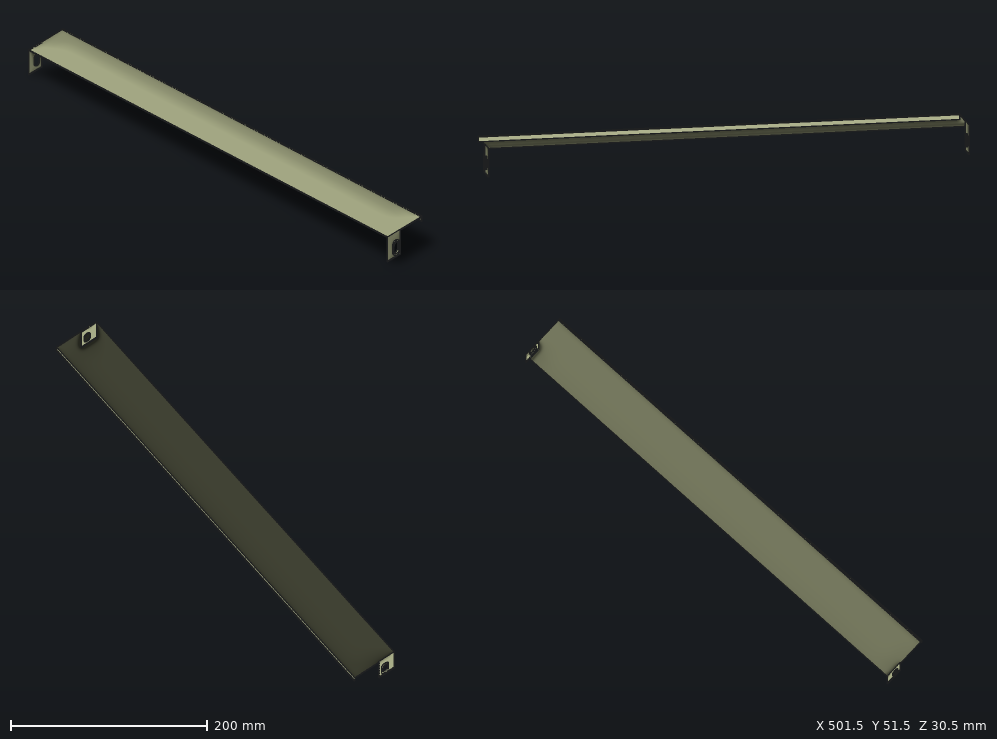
import cadquery as cq

total_length = 501.5
width = 51.5
height = 30.5

sheet = 1.0
lip_height = 6.0
tab_width = 19.5

slot_width = 7.5
slot_height = 14.0
slot_from_front = 12.0
slot_below_top = 18.5
pad_width = 9.0
pad_height = 18.0
pad_projection = 1.5

plate_length = total_length - pad_projection
front_y = -width / 2
left_x = -total_length / 2
right_x = left_x + plate_length


def box_at(x, y, z, size_x, size_y, size_z):
    """Box with its minimum corner at (x, y, z)."""
    return cq.Workplane("XY").box(size_x, size_y, size_z, centered=False).translate((x, y, z))


def upright_obround(x, length, across, tall):
    """Round-ended prism along +X, centred on the tab slot axis."""
    return (
        cq.Workplane("YZ", origin=(x, front_y + slot_from_front, height - slot_below_top))
        .slot2D(tall, across, 90)
        .extrude(length)
    )


top_plate = box_at(left_x, front_y, height - sheet, plate_length, width, sheet)
rear_lip = box_at(left_x, width / 2 - sheet, height - lip_height, plate_length, sheet, lip_height)
result = top_plate.union(rear_lip)

for tab_x in (left_x, right_x - sheet):
    result = result.union(box_at(tab_x, front_y, 0, sheet, tab_width, height))

result = result.union(upright_obround(right_x - sheet, sheet + pad_projection, pad_width, pad_height))

result = result.cut(upright_obround(left_x, total_length, slot_width, slot_height))